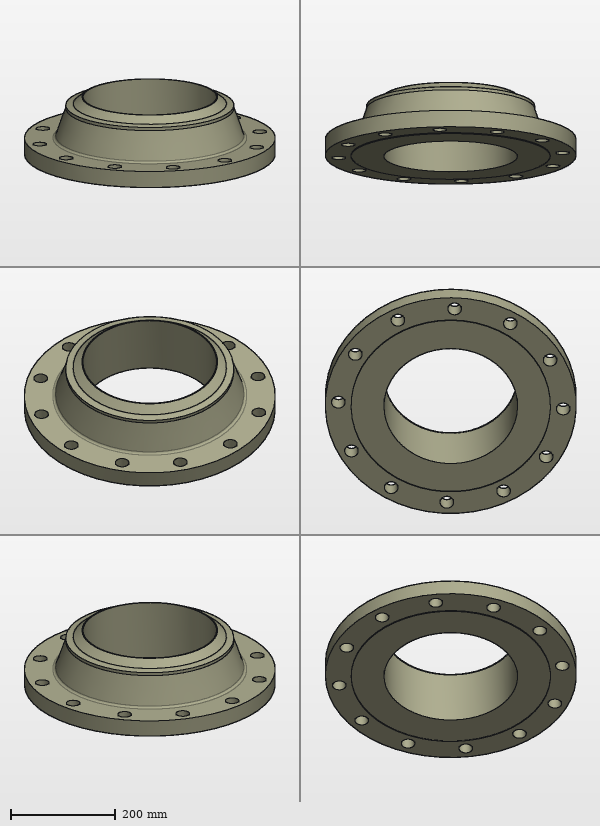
import cadquery as cq

flange_diameter = 482.5
total_height = 116.0
flange_top = 34.3
bore_radius = 128.5

face_height = 2.0
face_radius = 191.5

hub_base_radius = 182.5
root_fillet = 6.0
shoulder_radius = 161.5
band_bottom = 93.5
band_top = 100.0

bevel_root_radius = 147.0
root_flat_width = 1.0
bevel_root_height = 102.5
rim_radius = 130.5

bolt_count = 12
bolt_circle_radius = 216.0
bolt_hole_diameter = 26.0


def flange_body():
    """Revolve the half section about Z and round the foot of the hub."""
    flange_radius = flange_diameter / 2
    section = (
        cq.Workplane("XZ")
        .moveTo(bore_radius, 0)
        .lineTo(face_radius, 0)
        .lineTo(face_radius, face_height)
        .lineTo(flange_radius, face_height)
        .lineTo(flange_radius, flange_top)
        .lineTo(hub_base_radius, flange_top)
        .lineTo(shoulder_radius, band_bottom)
        .lineTo(shoulder_radius, band_top)
        .lineTo(bevel_root_radius + root_flat_width, bevel_root_height)
        .lineTo(bevel_root_radius, bevel_root_height)
        .lineTo(rim_radius, total_height)
        .lineTo(bore_radius, total_height)
        .close()
    )
    body = section.revolve(360, (0, 0, 0), (0, 1, 0))
    upper_surface = body.faces("|Z").faces(cq.selectors.NearestToPointSelector((0, 0, flange_top)))
    return upper_surface.edges(cq.selectors.RadiusNthSelector(0)).fillet(root_fillet)


def bolt_holes():
    """Cylinders on the bolt circle, reaching through the flange."""
    return (
        cq.Workplane("XY")
        .polarArray(bolt_circle_radius, 0, 360, bolt_count)
        .circle(bolt_hole_diameter / 2)
        .extrude(flange_top)
    )


result = flange_body().cut(bolt_holes())